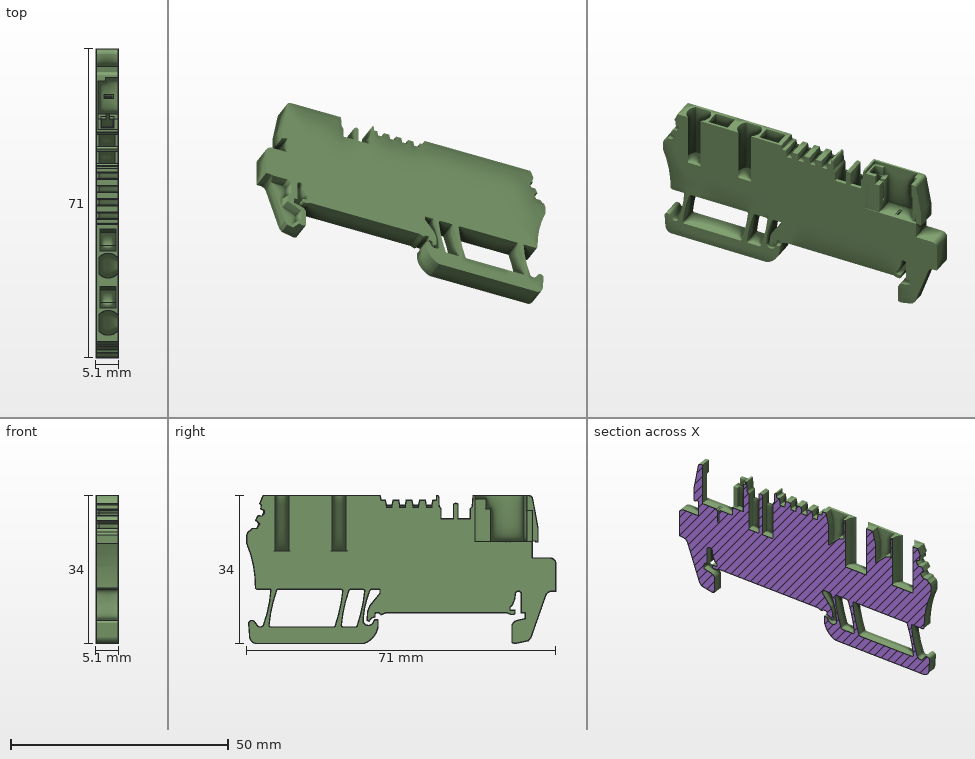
import cadquery as cq
import math


WIDTH = 5.1
LENGTH = 71.05
HEIGHT = 34.0
SKIN = 0.4
OVERSHOOT = 0.7

BODY_BOTTOM = 7.0
SHELF_BOTTOM = 12.0
SHELF_TOP = 19.7
TOP_START = 64.9
LIP_BOTTOM = 23.3
RAIL_WINDOW_TOP = 12.4
RAIL_WINDOW_BOTTOM = 3.85

BAY_FLOOR = 28.7
BAY_SHOULDER = 31.0
BAY_START = 51.4
BAY_END = 44.7
POST_START = 48.6
POST_END = 47.5
POST_PEAK = 32.3
POST_BEVEL = 0.3
BAY_SLOT_X = (0.65, 4.3)
BAY_SLOT_BOTTOM = 21.3

COMB_START = 43.6
COMB_END = 30.9
COMB_END_LEAN = 0.2
COMB_TOP = 33.0
GROOVE_FLOOR = 31.8
GROOVE_COUNT = 4
GROOVE_FIRST = 41.9
GROOVE_PITCH = 3.05
GROOVE_FLOOR_WIDTH = 1.3
GROOVE_TOP_WIDTH = 1.7
RELIEF_START = 0.7
GROOVE_RELIEF = 0.6
NOTCH_RELIEF = 0.3

UPPER_NOTCH_BACK = 3.85
LOWER_NOTCH_BACK = 2.8

STRUT_LEFT_TOPS = (39.9, 23.6, 6.95)
STRUT_RIGHT_TOPS = (27.15, 22.1, 5.55)
STRUT_MIDDLE = 8.5
STRUT_LEFT_BOW = 1.15
STRUT_RIGHT_BOW = 0.6
STRUT_SHIFT = 1.85
WINDOW_FILLET = 0.35

POCKET_START = 52.5
POCKET_END = 64.45
POCKET_FLOOR = 23.45
CORNER_X = 2.2
CORNER_Y = 63.7
END_WALL_OUTSIDE = 65.65
END_NOTCH_X = 4.5
END_NOTCH_TOP = 30.6
BLADE_SLOT_X = (1.8, 4.0)
BLADE_SLOT_Y = (59.6, 60.5)
BLADE_SLOT_DEPTH = 3.55
BLADE_SLOT_INSET = 0.3

BLOCK_END = 55.0
BLOCK_TOP = 33.2
BLOCK_RIGHT = 5.0
LEDGE_END = 56.05
LEDGE_TOP = 31.0
SOCKET_X = (1.1, 4.1)
SOCKET_Y = (52.9, 55.55)
SOCKET_BOTTOM = 25.6
GAP_X = (2.3, 3.05)
SHEET = 0.2
LIP_DEPTH = 0.6

CLAMP_COUNT = 2
CLAMP_PITCH = 13.15
FUNNEL_X = (0.85, 4.55)
FUNNEL_START = 29.6
FUNNEL_END = 24.65
FUNNEL_THROAT_START = 28.85
FUNNEL_THROAT_END = 25.9
FUNNEL_LEAD_IN = 30.9
FUNNEL_RAMP_TOP = 28.4
FUNNEL_RAMP_BOTTOM = 25.6
FUNNEL_STEP_TOP = 28.8
TOOL_HOLE_X = 2.8
TOOL_HOLE_Y = 21.25
TOOL_HOLE_RADIUS = 2.85
TOOL_HOLE_WALL = 0.65
TOOL_HOLE_BOTTOM = 21.3

FOOT_WEB_X = 2.05
FOOT_RECESS_TOP = 11.9
FOOT_RECESS_DRAFT = 0.5


def box(x_range, y_range, z_range):
    """Box spanning the given ranges."""
    size = [high - low for low, high in (x_range, y_range, z_range)]
    return cq.Workplane("XY").box(*size, centered=False).translate((x_range[0], y_range[0], z_range[0]))


def slab(x_range, points):
    """Closed Y-Z polygon extruded over an X range."""
    profile = cq.Workplane("YZ", origin=(x_range[0], 0, 0)).polyline(points).close()
    return profile.extrude(x_range[1] - x_range[0])


def groove_centre(index):
    return GROOVE_FIRST - index * GROOVE_PITCH


def add_top_edge(path):
    """Top edge from the +Y corner to the -Y corner: plug bays, post and comb."""
    path = path.lineTo(52.0, HEIGHT).lineTo(51.8, 31.4).lineTo(BAY_START, BAY_SHOULDER)
    path = path.lineTo(BAY_START, BAY_FLOOR).lineTo(POST_START, BAY_FLOOR)
    path = path.lineTo(POST_START, POST_PEAK - POST_BEVEL)
    path = path.lineTo((POST_START + POST_END) / 2, POST_PEAK)
    path = path.lineTo(POST_END, POST_PEAK - POST_BEVEL).lineTo(POST_END, BAY_FLOOR)
    path = path.lineTo(BAY_END, BAY_FLOOR).lineTo(BAY_END, BAY_SHOULDER)
    path = path.lineTo(44.25, 31.55).lineTo(44.2, 33.7).lineTo(44.0, HEIGHT)
    path = path.lineTo(COMB_START, HEIGHT).lineTo(COMB_START, COMB_TOP)
    for index in range(GROOVE_COUNT):
        centre = groove_centre(index)
        path = path.lineTo(centre + GROOVE_TOP_WIDTH / 2, COMB_TOP)
        path = path.lineTo(centre + GROOVE_FLOOR_WIDTH / 2, GROOVE_FLOOR)
        path = path.lineTo(centre - GROOVE_FLOOR_WIDTH / 2, GROOVE_FLOOR)
        path = path.lineTo(centre - GROOVE_TOP_WIDTH / 2, COMB_TOP)
    return path.lineTo(COMB_END, COMB_TOP).lineTo(COMB_END - COMB_END_LEAN, HEIGHT)


def add_nose(path):
    """-Y end: two hooked marker notches, the bulge and the hollow below it."""
    path = path.lineTo(3.8, HEIGHT).lineTo(3.0, 32.2).lineTo(3.35, 31.8).lineTo(3.2, 30.9)
    path = path.lineTo(UPPER_NOTCH_BACK, 30.7).lineTo(UPPER_NOTCH_BACK, 30.0)
    path = path.lineTo(3.55, 29.35).lineTo(2.6, 29.4)
    path = path.lineTo(2.0, 28.3).lineTo(2.35, 28.15).lineTo(LOWER_NOTCH_BACK, 27.5).lineTo(2.35, 26.5)
    path = path.lineTo(1.3, 26.5).lineTo(0.9, 26.1).lineTo(0.3, 25.65).lineTo(0, 24.95).lineTo(0, 23.0)
    path = path.threePointArc((1.35, 18.8), (2.0, 12.8))
    return path.lineTo(2.35, RAIL_WINDOW_TOP)


def add_rail_foot(path):
    """Rail foot at -Y: last strut, end hook, sole, front hook and fixed claw."""
    path = path.lineTo(STRUT_RIGHT_TOPS[2], RAIL_WINDOW_TOP)
    path = path.threePointArc((5.05, STRUT_MIDDLE), (3.85, 4.25)).threePointArc((3.1, 3.85), (2.35, 4.25))
    path = path.lineTo(1.85, 5.0).threePointArc((1.2, 5.3), (0.4, 4.6))
    path = path.lineTo(0.65, 1.85).threePointArc((1.1, 0.6), (2.05, 0))
    path = path.lineTo(27.0, 0).threePointArc((29.0, 1.35), (30.2, 3.8)).lineTo(30.2, 5.5)
    path = path.lineTo(29.4, 5.55).lineTo(29.0, 4.7).threePointArc((28.0, 4.2), (26.8, 4.9))
    path = path.lineTo(26.85, 6.3).threePointArc((27.4, 9.5), (28.3, 12.1))
    path = path.lineTo(28.55, RAIL_WINDOW_TOP).lineTo(30.6, RAIL_WINDOW_TOP).lineTo(30.6, 11.6)
    path = path.lineTo(28.3, 8.7).lineTo(27.8, 7.4).lineTo(27.65, 5.3).lineTo(28.15, 5.1)
    path = path.lineTo(28.7, 5.9).lineTo(29.5, 6.1).lineTo(29.55, BODY_BOTTOM)
    return path.lineTo(30.4, BODY_BOTTOM).lineTo(30.9, 6.6).lineTo(32.0, BODY_BOTTOM)


def add_spring_foot(path):
    """Underside hook, slit and springy foot at the +Y end."""
    path = path.lineTo(59.8, BODY_BOTTOM).lineTo(60.7, 6.7).lineTo(61.4, 6.7).lineTo(61.7, 6.9)
    path = path.lineTo(61.7, 7.7).lineTo(60.5, 7.7).lineTo(60.5, 8.3).lineTo(61.1, 8.9)
    path = path.lineTo(61.6, 10.15).lineTo(61.8, 11.65).threePointArc((62.5, 12.0), (63.1, 11.65))
    path = path.lineTo(63.1, BODY_BOTTOM).lineTo(64.0, BODY_BOTTOM).lineTo(64.0, 5.75)
    path = path.lineTo(62.2, 5.3).threePointArc((61.45, 5.0), (60.95, 4.25)).lineTo(60.95, 0.2)
    path = path.lineTo(61.75, 0).lineTo(64.7, 0.65).lineTo(65.4, 1.4).lineTo(68.8, 11.15)
    return path.threePointArc((69.3, 11.7), (70.05, SHELF_BOTTOM))


def side_outline():
    """Whole side outline of the housing, extruded over its width."""
    path = cq.Workplane("YZ").moveTo(TOP_START, HEIGHT)
    path = add_top_edge(path)
    path = add_nose(path)
    path = add_rail_foot(path)
    path = add_spring_foot(path)
    path = path.lineTo(LENGTH, SHELF_BOTTOM).lineTo(LENGTH, 18.7)
    path = path.threePointArc((70.6, 19.3), (69.5, SHELF_TOP)).lineTo(END_WALL_OUTSIDE, SHELF_TOP)
    path = path.lineTo(END_WALL_OUTSIDE, 23.5).lineTo(66.4, 23.5).lineTo(66.4, LIP_BOTTOM)
    path = path.lineTo(67.0, LIP_BOTTOM).lineTo(67.0, 26.4).lineTo(65.7, 33.3)
    path = path.threePointArc((65.45, 33.8), (TOP_START, HEIGHT))
    return path.close().extrude(WIDTH)


def rail_window(right_top, left_top):
    """Window between one strut's -Y edge and the next strut's +Y edge."""
    window = (
        cq.Workplane("YZ")
        .moveTo(right_top, RAIL_WINDOW_TOP)
        .threePointArc(
            (right_top - STRUT_RIGHT_BOW, STRUT_MIDDLE), (right_top - STRUT_SHIFT, RAIL_WINDOW_BOTTOM)
        )
        .lineTo(left_top - STRUT_SHIFT, RAIL_WINDOW_BOTTOM)
        .threePointArc((left_top - STRUT_LEFT_BOW, STRUT_MIDDLE), (left_top, RAIL_WINDOW_TOP))
        .close()
        .extrude(WIDTH)
    )
    return window.edges("|X").fillet(WINDOW_FILLET)


def foot_recess():
    """Drafted recess on the -X side that leaves the spring strip proud of a thinner web."""
    outside_y = LENGTH + OVERSHOOT
    points = [
        (outside_y, FOOT_RECESS_TOP), (65.65, FOOT_RECESS_TOP), (64.65, 11.0), (64.65, 8.25), (65.65, 7.25),
        (65.65, 5.7), (62.1, 4.1), (62.1, 1.7), (62.75, 1.15), (62.75, -OVERSHOOT), (outside_y, -OVERSHOOT),
    ]
    draft_angle = math.degrees(math.atan(FOOT_RECESS_DRAFT / FOOT_WEB_X))
    return cq.Workplane("YZ").polyline(points).close().extrude(FOOT_WEB_X, taper=draft_angle)


def equipment_pocket():
    """Pocket open to the top and to +X, less the corner block at its +Y end."""
    open_x = WIDTH + OVERSHOOT
    open_z = HEIGHT + OVERSHOOT
    pocket = box((SKIN, open_x), (POCKET_START, POCKET_END), (POCKET_FLOOR, open_z))
    corner = box((SKIN, CORNER_X), (CORNER_Y, POCKET_END), (POCKET_FLOOR, open_z))
    end_notch = box((END_NOTCH_X, open_x), (POCKET_END, END_WALL_OUTSIDE), (POCKET_FLOOR, END_NOTCH_TOP))
    return pocket.cut(corner).union(end_notch)


def blade_slot():
    """Slot in the pocket floor with a shallow step around its mouth."""
    mouth = box(BLADE_SLOT_X, BLADE_SLOT_Y, (POCKET_FLOOR - BLADE_SLOT_INSET, POCKET_FLOOR))
    throat_x = (BLADE_SLOT_X[0] + BLADE_SLOT_INSET, BLADE_SLOT_X[1] - BLADE_SLOT_INSET)
    throat_y = (BLADE_SLOT_Y[0] + BLADE_SLOT_INSET, BLADE_SLOT_Y[1] - BLADE_SLOT_INSET)
    throat = box(throat_x, throat_y, (POCKET_FLOOR - BLADE_SLOT_DEPTH, POCKET_FLOOR))
    return mouth.union(throat)


def socket_block():
    """Stepped block with the socket that takes the clip and a slit toward the pocket."""
    block = slab((SKIN, BLOCK_RIGHT), [
        (POCKET_START, POCKET_FLOOR), (POCKET_START, BLOCK_TOP), (BLOCK_END, BLOCK_TOP),
        (BLOCK_END, LEDGE_TOP), (LEDGE_END, LEDGE_TOP), (LEDGE_END, POCKET_FLOOR),
    ])
    socket = box(SOCKET_X, SOCKET_Y, (SOCKET_BOTTOM, BLOCK_TOP))
    slit = box(GAP_X, (SOCKET_Y[1], LEDGE_END), (SOCKET_BOTTOM, LEDGE_TOP))
    return block.cut(socket).cut(slit)


def wire_funnel():
    """Rectangular wire entry with a lead-in and a sloping bottom."""
    top = HEIGHT + OVERSHOOT
    return slab(FUNNEL_X, [
        (FUNNEL_START, top), (FUNNEL_START, HEIGHT), (FUNNEL_THROAT_START, FUNNEL_LEAD_IN),
        (FUNNEL_THROAT_START, FUNNEL_RAMP_BOTTOM), (FUNNEL_THROAT_END, FUNNEL_RAMP_TOP),
        (FUNNEL_END, FUNNEL_STEP_TOP), (FUNNEL_END, top),
    ])


def tool_hole():
    """Round tool entry, flattened beside the -X wall and breaking out at +X."""
    depth = HEIGHT - TOOL_HOLE_BOTTOM
    start = cq.Workplane("XY", origin=(TOOL_HOLE_X, TOOL_HOLE_Y, TOOL_HOLE_BOTTOM))
    hole = start.circle(TOOL_HOLE_RADIUS).extrude(depth)
    y_range = (TOOL_HOLE_Y - TOOL_HOLE_RADIUS, TOOL_HOLE_Y + TOOL_HOLE_RADIUS)
    return hole.intersect(box((TOOL_HOLE_WALL, WIDTH + OVERSHOOT), y_range, (TOOL_HOLE_BOTTOM, HEIGHT)))


def groove_relief(index):
    """Deeper channel along a comb groove, stopping short of the -X wall."""
    centre = groove_centre(index)
    half_width = GROOVE_FLOOR_WIDTH / 2
    y_range = (centre - half_width, centre + half_width)
    return box((RELIEF_START, WIDTH), y_range, (GROOVE_FLOOR - GROOVE_RELIEF, GROOVE_FLOOR))


def notch_reliefs():
    """Deeper backs of the two nose notches, stopping short of the -X wall."""
    x_range = (RELIEF_START, WIDTH)
    upper_back = UPPER_NOTCH_BACK + NOTCH_RELIEF
    lower_back = LOWER_NOTCH_BACK + NOTCH_RELIEF
    upper = slab(x_range, [(UPPER_NOTCH_BACK, 30.7), (upper_back, 30.55), (upper_back, 30.0), (3.55, 29.35)])
    lower = slab(x_range, [(2.35, 28.15), (lower_back, 27.5), (2.35, 26.5)])
    return upper, lower


def make_housing():
    housing = side_outline()
    for right_top, left_top in zip(STRUT_RIGHT_TOPS[:2], STRUT_LEFT_TOPS[1:]):
        housing = housing.cut(rail_window(right_top, left_top))
    housing = housing.cut(foot_recess())
    housing = housing.cut(equipment_pocket()).cut(blade_slot()).union(socket_block())
    for bay in ((POST_START, BAY_START), (BAY_END, POST_END)):
        housing = housing.cut(box(BAY_SLOT_X, bay, (BAY_SLOT_BOTTOM, BAY_FLOOR)))
    for index in range(GROOVE_COUNT):
        housing = housing.cut(groove_relief(index))
    for relief in notch_reliefs():
        housing = housing.cut(relief)
    for index in range(CLAMP_COUNT):
        offset = (0, -index * CLAMP_PITCH, 0)
        housing = housing.cut(wire_funnel().translate(offset)).cut(tool_hole().translate(offset))
    return housing


def make_contact_clip():
    """Sheet-metal channel lining the socket, with two lips facing across the slit."""
    z_range = (SOCKET_BOTTOM, LEDGE_TOP)
    outer = box(SOCKET_X, SOCKET_Y, z_range)
    inner = box(
        (SOCKET_X[0] + SHEET, SOCKET_X[1] - SHEET), (SOCKET_Y[0] + SHEET, SOCKET_Y[1] - LIP_DEPTH), z_range
    )
    lip_gap = box(GAP_X, (SOCKET_Y[1] - LIP_DEPTH, SOCKET_Y[1]), z_range)
    return outer.cut(inner).cut(lip_gap)


housing = make_housing()
contact_clip = make_contact_clip()
result = cq.Compound.makeCompound([housing.solids().val(), contact_clip.solids().val()])